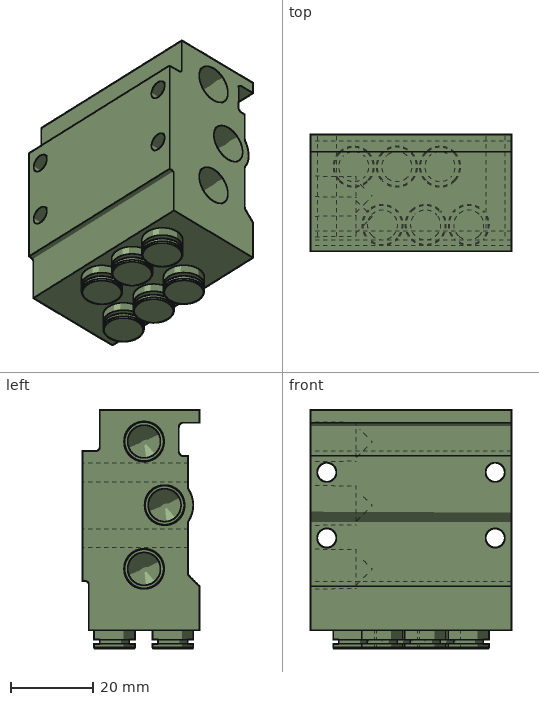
import cadquery as cq
import math

block_length = 49.0
block_depth = 28.5
block_height = 53.7
half_length = block_length / 2

front_face_y = 2.8
slot_floor_y = 5.0
lip_thickness = 3.15
slot_bottom_z = block_height - 11.2
ramp_bottom_z = 10.75
ramp_top_z = ramp_bottom_z + front_face_y

upper_back_y = 24.3
lower_back_y = 27.0
upper_step_z = block_height - 10.0
lower_step_z = 12.0

corner_radius = 1.0
lower_step_radius = 0.8

port_pitch_z = 15.5
middle_port_y = 8.5
middle_port_z = block_height - 23.2
outer_port_y = 13.5
port_centers = [
    (outer_port_y, middle_port_z + port_pitch_z),
    (middle_port_y, middle_port_z),
    (outer_port_y, middle_port_z - port_pitch_z),
]
port_mouth_radius = 4.9
port_inner_radius = 4.75
port_drill_radius = 4.0
port_thread_depth = 11.0
drill_point_half_angle = 45.0
drill_point_length = port_drill_radius / math.tan(math.radians(drill_point_half_angle))

bulge_radius = 7.0
bulge_half_chord = math.sqrt(bulge_radius**2 - (middle_port_y - front_face_y) ** 2)

mount_hole_diameter = 4.6
mount_edge_distance = 4.0
mount_pitch_x = block_length - 2 * mount_edge_distance
mount_pitch_z = 16.0

fitting_radius = 5.0
neck_radius = 3.65
fitting_height = 4.5
collar_height = 2.25
flange_height = 1.25
rim_chamfer_width = 0.25
rim_chamfer_height = 0.4
fitting_pitch_x = 10.5
fittings_per_row = 3
row_stagger_x = 7.0
front_row_y = 6.5
back_row_y = 20.7


def block_profile():
    """Constant section of the block in the YZ plane, extruded along X."""
    body = (
        cq.Workplane("YZ", origin=(-half_length, 0, 0))
        .polyline([
            (0, 0),
            (lower_back_y, 0),
            (lower_back_y, lower_step_z),
            (block_depth, lower_step_z),
            (block_depth, upper_step_z),
            (upper_back_y, upper_step_z),
            (upper_back_y, block_height),
            (0, block_height),
            (0, block_height - lip_thickness),
            (slot_floor_y, block_height - lip_thickness),
            (slot_floor_y, slot_bottom_z),
            (front_face_y, slot_bottom_z),
            (front_face_y, ramp_top_z),
            (0, ramp_bottom_z),
        ])
        .close()
        .extrude(block_length)
    )
    bulge = (
        cq.Workplane("YZ", origin=(-half_length, middle_port_y, middle_port_z))
        .circle(bulge_radius)
        .extrude(block_length)
    )
    return body.union(bulge)


def round_long_edge(body, y, z, radius):
    """Fillet the edge that runs along X through the point (y, z)."""
    return body.edges(cq.selectors.NearestToPointSelector((0, y, z))).fillet(radius)


def port_cutter(y, z):
    """Tapered port with a smaller conical drill point, entering from the -X side."""
    tip_depth = port_thread_depth + drill_point_length
    return (
        cq.Workplane("XY")
        .polyline([
            (0, 0),
            (0, port_mouth_radius),
            (port_thread_depth, port_inner_radius),
            (port_thread_depth, port_drill_radius),
            (tip_depth, 0),
        ])
        .close()
        .revolve(360, (0, 0, 0), (1, 0, 0))
        .translate((-half_length, y, z))
    )


def mount_holes():
    """Four holes right through the block along Y."""
    return (
        cq.Workplane("XZ", origin=(0, 0, middle_port_z))
        .rarray(mount_pitch_x, mount_pitch_z, 2, 2)
        .circle(mount_hole_diameter / 2)
        .extrude(-block_depth)
    )


def make_block():
    block = block_profile()
    rounded_edges = [
        (slot_floor_y, block_height - lip_thickness, corner_radius),
        (slot_floor_y, slot_bottom_z, corner_radius),
        (front_face_y, middle_port_z + bulge_half_chord, corner_radius),
        (front_face_y, middle_port_z - bulge_half_chord, corner_radius),
        (front_face_y, ramp_top_z, corner_radius),
        (upper_back_y, upper_step_z, corner_radius),
        (lower_back_y, lower_step_z, lower_step_radius),
    ]
    for y, z, radius in rounded_edges:
        block = round_long_edge(block, y, z, radius)
    for y, z in port_centers:
        block = block.cut(port_cutter(y, z))
    return block.cut(mount_holes())


def make_fitting(x, y):
    """Collar, neck and flange of one fitting, hanging from the bottom face."""
    flange_top_z = -fitting_height + flange_height
    return (
        cq.Workplane("XZ")
        .polyline([
            (0, 0),
            (fitting_radius, 0),
            (fitting_radius, -collar_height),
            (neck_radius, -collar_height),
            (neck_radius, flange_top_z),
            (fitting_radius, flange_top_z),
            (fitting_radius, -fitting_height + rim_chamfer_height),
            (fitting_radius - rim_chamfer_width, -fitting_height),
            (0, -fitting_height),
        ])
        .close()
        .revolve(360, (0, 0, 0), (0, 1, 0))
        .translate((x, y, 0))
    )


block = make_block()

fittings = []
for row_y, row_center_x in [(front_row_y, row_stagger_x / 2), (back_row_y, -row_stagger_x / 2)]:
    for index in range(fittings_per_row):
        fitting_x = row_center_x + (index - (fittings_per_row - 1) / 2) * fitting_pitch_x
        fittings.append(make_fitting(fitting_x, row_y).val())

result = cq.Compound.makeCompound([block.val(), *fittings])